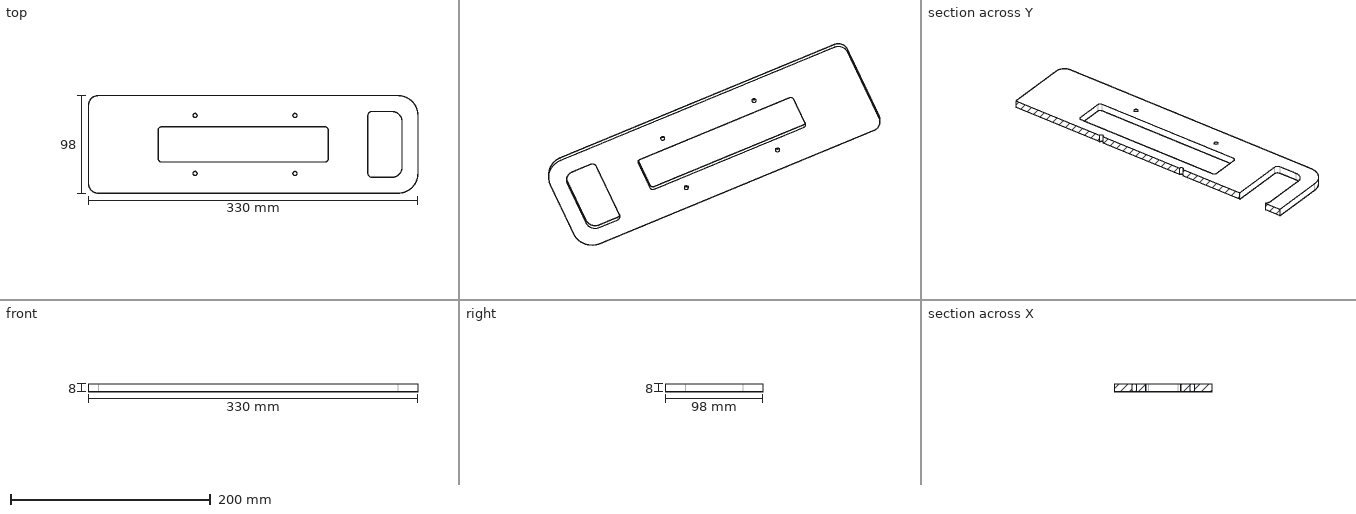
import cadquery as cq

length = 330.0
width = 98.0
thickness = 8.0
square_end_radius = 10.0
handle_end_radius = 20.0

window_start = 70.0
window_length = 170.0
window_width = 35.0
window_radius = 3.0

hole_diameter = 4.0
hole_center_x = 156.8
hole_spacing_x = 100.0
hole_spacing_y = 58.0

rim = 16.2
handle_length = 34.0
handle_inner_radius = 4.0
handle_outer_radius = 10.0


def rounded_block(start_x, size_x, size_y, left_radius, right_radius):
    """Block on the XY plane, centred on Y = 0, with its own corner radius at each end."""
    block = cq.Workplane("XY").box(size_x, size_y, thickness, centered=(False, True, False))
    block = block.edges("|Z and <X").fillet(left_radius)
    block = block.edges("|Z and >X").fillet(right_radius)
    return block.translate((start_x, 0, 0))


plate = rounded_block(0, length, width, square_end_radius, handle_end_radius)

window = rounded_block(window_start, window_length, window_width, window_radius, window_radius)

handle_opening = rounded_block(
    length - rim - handle_length,
    handle_length,
    width - 2 * rim,
    handle_inner_radius,
    handle_outer_radius,
)

screw_holes = (
    cq.Workplane("XY")
    .center(hole_center_x, 0)
    .rect(hole_spacing_x, hole_spacing_y, forConstruction=True)
    .vertices()
    .circle(hole_diameter / 2)
    .extrude(thickness)
)

result = plate.cut(window).cut(handle_opening).cut(screw_holes)